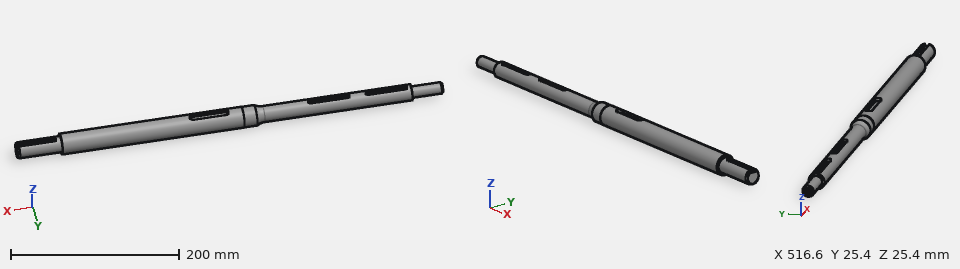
import cadquery as cq
import math

LENGTH = 516.64
LEFT_JOURNAL_END = 38.0
NECK_START = 217.2
COLLAR_START = 227.0
BODY_START = 242.5
BODY_END = 463.0

LEFT_JOURNAL_DIAMETER = 14.0
LONG_JOURNAL_DIAMETER = 19.6
COLLAR_DIAMETER = 25.0
BODY_DIAMETER = 25.35
RIGHT_JOURNAL_DIAMETER = 19.6

LEFT_CHAMFER = 2.0
RIGHT_CHAMFER_LENGTH = 2.5
RIGHT_CHAMFER_DEPTH = 1.5

CENTRE_MOUTH_DIAMETER = 4.0
CENTRE_PILOT_DIAMETER = 2.0
CENTRE_CONE_ANGLE = 60.0
CENTRE_HOLE_DEPTH = 5.0

NARROW_KEY_WIDTH = 6.0
NARROW_KEY_DEPTH = 3.5
NARROW_KEY_LENGTH = 50.0
NARROW_KEY_STARTS = (43.0, 113.0)
WIDE_KEY_WIDTH = 8.0
WIDE_KEY_DEPTH = 4.0
WIDE_KEY_LENGTH = 47.0
WIDE_KEY_START = 259.5
END_KEY_START = 469.0


def turned_shaft():
    """Revolve the stepped half profile about the X axis."""
    left_radius = LEFT_JOURNAL_DIAMETER / 2
    long_radius = LONG_JOURNAL_DIAMETER / 2
    collar_radius = COLLAR_DIAMETER / 2
    body_radius = BODY_DIAMETER / 2
    right_radius = RIGHT_JOURNAL_DIAMETER / 2
    neck_run = COLLAR_START - NECK_START
    neck_rise = collar_radius - long_radius
    neck_radius = (neck_run**2 + neck_rise**2) / (2 * neck_rise)
    profile = (
        cq.Workplane("XZ")
        .moveTo(0, 0)
        .lineTo(0, left_radius - LEFT_CHAMFER)
        .lineTo(LEFT_CHAMFER, left_radius)
        .lineTo(LEFT_JOURNAL_END, left_radius)
        .lineTo(LEFT_JOURNAL_END, long_radius)
        .lineTo(NECK_START, long_radius)
        .radiusArc((COLLAR_START, collar_radius), -neck_radius)
        .lineTo(BODY_START, collar_radius)
        .lineTo(BODY_START, body_radius)
        .lineTo(BODY_END, body_radius)
        .lineTo(BODY_END, right_radius)
        .lineTo(LENGTH - RIGHT_CHAMFER_LENGTH, right_radius)
        .lineTo(LENGTH, right_radius - RIGHT_CHAMFER_DEPTH)
        .lineTo(LENGTH, 0)
        .close()
    )
    return profile.revolve(360, (0, 0, 0), (1, 0, 0))


def centre_hole_cutter():
    """Centre-drilled hole in the left end face: a conical countersink leading into a pilot."""
    mouth_radius = CENTRE_MOUTH_DIAMETER / 2
    pilot_radius = CENTRE_PILOT_DIAMETER / 2
    half_angle = math.radians(CENTRE_CONE_ANGLE / 2)
    cone_depth = (mouth_radius - pilot_radius) / math.tan(half_angle)
    profile = (
        cq.Workplane("XZ")
        .moveTo(0, 0)
        .lineTo(0, mouth_radius)
        .lineTo(cone_depth, pilot_radius)
        .lineTo(CENTRE_HOLE_DEPTH, pilot_radius)
        .lineTo(CENTRE_HOLE_DEPTH, 0)
        .close()
    )
    return profile.revolve(360, (0, 0, 0), (1, 0, 0))


def keyway_cutter(start, length, width, depth, shaft_diameter):
    """Round-ended slot cutter whose floor lies `depth` below the top of the shaft."""
    floor_height = shaft_diameter / 2 - depth
    return (
        cq.Workplane("XY", origin=(start + length / 2, 0, floor_height))
        .slot2D(length, width)
        .extrude(shaft_diameter)
    )


def cut_narrow_keyways(shaft):
    """Cut the closed keyways along the long journal."""
    for start in NARROW_KEY_STARTS:
        shaft = shaft.cut(
            keyway_cutter(
                start, NARROW_KEY_LENGTH, NARROW_KEY_WIDTH, NARROW_KEY_DEPTH, LONG_JOURNAL_DIAMETER
            )
        )
    return shaft


def cut_wide_keyway(shaft):
    """Cut the closed keyway in the body."""
    return shaft.cut(
        keyway_cutter(WIDE_KEY_START, WIDE_KEY_LENGTH, WIDE_KEY_WIDTH, WIDE_KEY_DEPTH, BODY_DIAMETER)
    )


def cut_end_keyway(shaft):
    """Cut the right journal's keyway, which runs out through the end face."""
    length_past_end = LENGTH - END_KEY_START + NARROW_KEY_WIDTH
    return shaft.cut(
        keyway_cutter(
            END_KEY_START, length_past_end, NARROW_KEY_WIDTH, NARROW_KEY_DEPTH, RIGHT_JOURNAL_DIAMETER
        )
    )


result = turned_shaft().cut(centre_hole_cutter())
result = cut_narrow_keyways(result)
result = cut_wide_keyway(result)
result = cut_end_keyway(result)